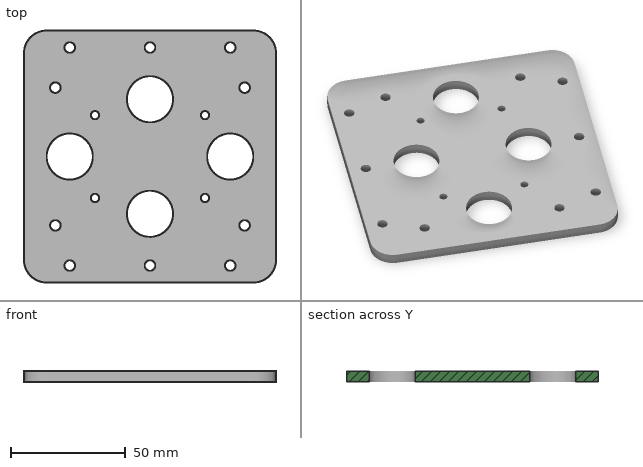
import cadquery as cq

side = 110.0
thickness = 5.0
corner_radius = 10.0

opening_diameter = 20.0
opening_x = 35.0
opening_y = 25.0

small_hole_diameter = 3.5
small_hole_x = 24.0
small_hole_y = 18.0

mount_hole_diameter = 4.5
end_row_x = opening_x
end_row_y = 47.5
side_hole_x = 41.2
side_hole_y = 30.0


def mirrored(x, y):
    """Four points placed symmetrically about both axes."""
    return [(sx * x, sy * y) for sx in (-1, 1) for sy in (-1, 1)]


def drill(plate, points, diameter):
    """Cut through holes of one diameter at the given points."""
    return plate.faces(">Z").workplane(origin=(0, 0, 0)).pushPoints(points).hole(diameter)


opening_points = [(-opening_x, 0), (opening_x, 0), (0, -opening_y), (0, opening_y)]
small_hole_points = mirrored(small_hole_x, small_hole_y)
mount_hole_points = (
    mirrored(end_row_x, end_row_y)
    + [(0, -end_row_y), (0, end_row_y)]
    + mirrored(side_hole_x, side_hole_y)
)

plate = cq.Workplane("XY").box(side, side, thickness).edges("|Z").fillet(corner_radius)
plate = drill(plate, opening_points, opening_diameter)
plate = drill(plate, small_hole_points, small_hole_diameter)
result = drill(plate, mount_hole_points, mount_hole_diameter)